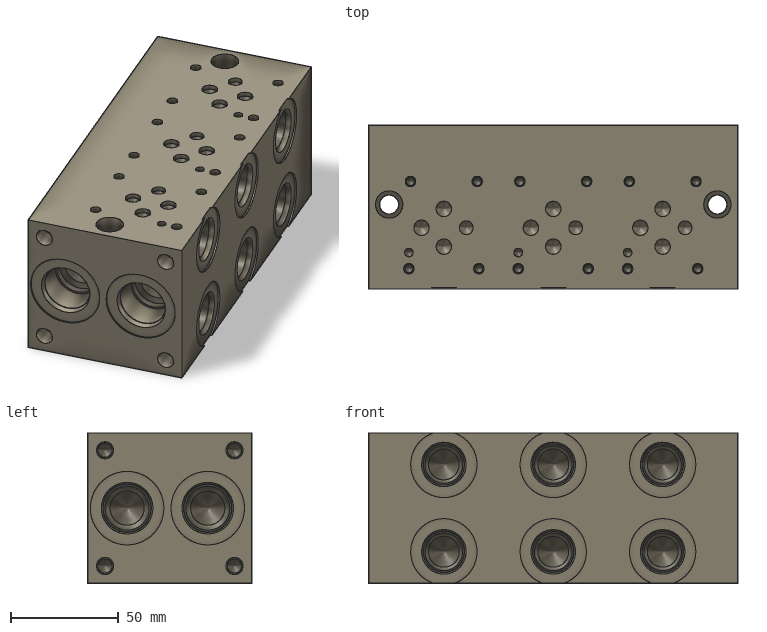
import cadquery as cq
import math

LENGTH = 171.45
WIDTH = 76.2
HEIGHT = 69.85

DRILL_POINT_ANGLE = 118.0
OVERCUT = 1.0

STATION_PITCH = 50.8
STATIONS_X = [LENGTH / 2 + i * STATION_PITCH for i in (-1, 0, 1)]

SPOTFACE_DEPTH = 0.8
SEAL_CONE_DEPTH = 2.5
WORK_PORT = dict(
    spotface=30.8,
    mouth=20.65,
    cone_end=19.25,
    thread=19.05,
    minor=17.5,
    drill=14.3,
    thread_depth=14.3,
    minor_depth=17.5,
    drill_depth=25.4,
)
MAIN_PORT = dict(
    spotface=34.14,
    mouth=23.93,
    cone_end=22.55,
    thread=22.23,
    minor=20.45,
    drill=15.88,
    thread_depth=16.7,
    minor_depth=20.0,
    drill_depth=28.0,
)
WORK_PORT_EDGE = 14.65
MAIN_PORTS_Y = (20.45, 57.9)
MAIN_PORT_Z = HEIGHT / 2

END_BOLT_INSET = 8.05
END_BOLT_MAJOR = 7.92
END_BOLT_MINOR = 6.53
END_BOLT_THREAD_DEPTH = 10.0
END_BOLT_DRILL_DEPTH = 12.7

VALVE_BOLT_PITCH_Y = 40.5
VALVE_BOLT_FRONT_Y = 9.525
VALVE_BOLT_BACK_Y = VALVE_BOLT_FRONT_Y + VALVE_BOLT_PITCH_Y
VALVE_BOLT_FRONT_PITCH_X = 32.5
VALVE_BOLT_BACK_PITCH_X = 31.0
VALVE_BOLT_MAJOR = 4.83
VALVE_BOLT_MINOR = 3.79
VALVE_BOLT_THREAD_DEPTH = 12.7
VALVE_BOLT_DRILL_DEPTH = 16.0
BACK_BOLT_TO_VALVE_CENTER = 21.5
VALVE_CENTER_Y = VALVE_BOLT_BACK_Y - BACK_BOLT_TO_VALVE_CENTER
LARGE_VALVE_PORT_DIA = 7.14
SMALL_VALVE_PORT_DIA = 6.35
VALVE_PORT_PITCH_X = 20.8
VALVE_PORT_PITCH_Y = 17.5
VALVE_PORT_DEPTH = 2.2
LOCATOR_DIA = 3.96
LOCATOR_DEPTH = 6.35
BACK_BOLT_TO_LOCATOR = 33.0
LOCATOR_Y = VALVE_BOLT_BACK_Y - BACK_BOLT_TO_LOCATOR

MOUNT_INSET_X = 9.525
MOUNT_Y = 39.3
MOUNT_DIA = 8.73
MOUNT_COUNTERBORE_DIA = 12.7
MOUNT_COUNTERBORE_DEPTH = 12.7

DOWN = cq.Vector(0, 0, -1)
BACKWARD = cq.Vector(0, 1, 0)
RIGHTWARD = cq.Vector(1, 0, 0)


def drill_point_length(radius):
    """Axial length of the drill-point cone over a radius."""
    return radius / math.tan(math.radians(DRILL_POINT_ANGLE / 2))


def revolved_cutter(profile, entry, inward):
    """Pointed solid of revolution from (radius, depth) points, set at entry and pointing inward."""
    start = (0, -OVERCUT)
    mouth = (profile[0][0], -OVERCUT)
    end_radius, end_depth = profile[-1]
    tip_depth = end_depth + drill_point_length(end_radius)
    outline = [start, mouth] + profile + [(0, tip_depth)]
    cutter = cq.Workplane("XY").polyline(outline).close().revolve(360, (0, 0), (0, 1)).val()
    frame = cq.Plane(origin=entry, xDir=(inward.y, inward.z, inward.x), normal=inward.toTuple())
    upright = cutter.rotate(cq.Vector(), cq.Vector(1, 0, 0), 90)
    return upright.moved(cq.Location(frame))


def drilled_hole(diameter, depth, entry, inward):
    radius = diameter / 2
    return revolved_cutter([(radius, 0), (radius, depth)], entry, inward)


def threaded_hole(major, minor, thread_depth, drill_depth, entry, inward):
    """Thread at its major diameter, stepping down to the tap drill."""
    profile = [
        (major / 2, 0),
        (major / 2, thread_depth),
        (minor / 2, thread_depth),
        (minor / 2, drill_depth),
    ]
    return revolved_cutter(profile, entry, inward)


def fluid_port(size, entry, inward):
    """Spotfaced port with a seal cone; the thread drill leaves a conical shoulder above the feed drill."""
    shoulder_end = size["minor_depth"] + drill_point_length((size["minor"] - size["drill"]) / 2)
    seal_end = SPOTFACE_DEPTH + SEAL_CONE_DEPTH
    profile = [
        (size["spotface"] / 2, 0),
        (size["spotface"] / 2, SPOTFACE_DEPTH),
        (size["mouth"] / 2, SPOTFACE_DEPTH),
        (size["cone_end"] / 2, seal_end),
        (size["thread"] / 2, seal_end),
        (size["thread"] / 2, size["thread_depth"]),
        (size["minor"] / 2, size["thread_depth"]),
        (size["minor"] / 2, size["minor_depth"]),
        (size["drill"] / 2, shoulder_end),
        (size["drill"] / 2, size["drill_depth"]),
    ]
    return revolved_cutter(profile, entry, inward)


def work_ports():
    levels = (WORK_PORT_EDGE, HEIGHT - WORK_PORT_EDGE)
    return [fluid_port(WORK_PORT, (x, 0, z), BACKWARD) for x in STATIONS_X for z in levels]


def main_ports():
    return [fluid_port(MAIN_PORT, (0, y, MAIN_PORT_Z), RIGHTWARD) for y in MAIN_PORTS_Y]


def end_bolt_holes():
    return [
        threaded_hole(END_BOLT_MAJOR, END_BOLT_MINOR, END_BOLT_THREAD_DEPTH, END_BOLT_DRILL_DEPTH,
                      (0, y, z), RIGHTWARD)
        for y in (END_BOLT_INSET, WIDTH - END_BOLT_INSET)
        for z in (END_BOLT_INSET, HEIGHT - END_BOLT_INSET)
    ]


def valve_ports(x):
    """Four ports in a diamond, the one on the +X side smaller than the rest."""
    half_x = VALVE_PORT_PITCH_X / 2
    half_y = VALVE_PORT_PITCH_Y / 2
    ports = [
        (LARGE_VALVE_PORT_DIA, x, VALVE_CENTER_Y + half_y),
        (LARGE_VALVE_PORT_DIA, x, VALVE_CENTER_Y - half_y),
        (LARGE_VALVE_PORT_DIA, x - half_x, VALVE_CENTER_Y),
        (SMALL_VALVE_PORT_DIA, x + half_x, VALVE_CENTER_Y),
    ]
    return [drilled_hole(dia, VALVE_PORT_DEPTH, (px, py, HEIGHT), DOWN) for dia, px, py in ports]


def valve_bolt_holes(x):
    """Two rows of two threaded holes, the front row slightly wider than the back row."""
    rows = [
        (VALVE_BOLT_BACK_Y, VALVE_BOLT_BACK_PITCH_X),
        (VALVE_BOLT_FRONT_Y, VALVE_BOLT_FRONT_PITCH_X),
    ]
    return [
        threaded_hole(VALVE_BOLT_MAJOR, VALVE_BOLT_MINOR, VALVE_BOLT_THREAD_DEPTH, VALVE_BOLT_DRILL_DEPTH,
                      (x + side * pitch / 2, y, HEIGHT), DOWN)
        for y, pitch in rows
        for side in (-1, 1)
    ]


def locator_hole(x):
    """Locating hole in line with the front bolt hole on the -X side."""
    entry = (x - VALVE_BOLT_FRONT_PITCH_X / 2, LOCATOR_Y, HEIGHT)
    return drilled_hole(LOCATOR_DIA, LOCATOR_DEPTH, entry, DOWN)


def cut_mounting_holes(body):
    places = [(MOUNT_INSET_X, MOUNT_Y), (LENGTH - MOUNT_INSET_X, MOUNT_Y)]
    return (
        body.faces(">Z")
        .workplane(origin=(0, 0, HEIGHT))
        .pushPoints(places)
        .cboreHole(MOUNT_DIA, MOUNT_COUNTERBORE_DIA, MOUNT_COUNTERBORE_DEPTH)
    )


block = cq.Workplane("XY").box(LENGTH, WIDTH, HEIGHT, centered=False)
block = cut_mounting_holes(block)

cutters = work_ports() + main_ports() + end_bolt_holes()
for station_x in STATIONS_X:
    cutters += valve_ports(station_x)
    cutters += valve_bolt_holes(station_x)
    cutters.append(locator_hole(station_x))
result = cq.Workplane("XY").newObject([block.val().cut(*cutters)])